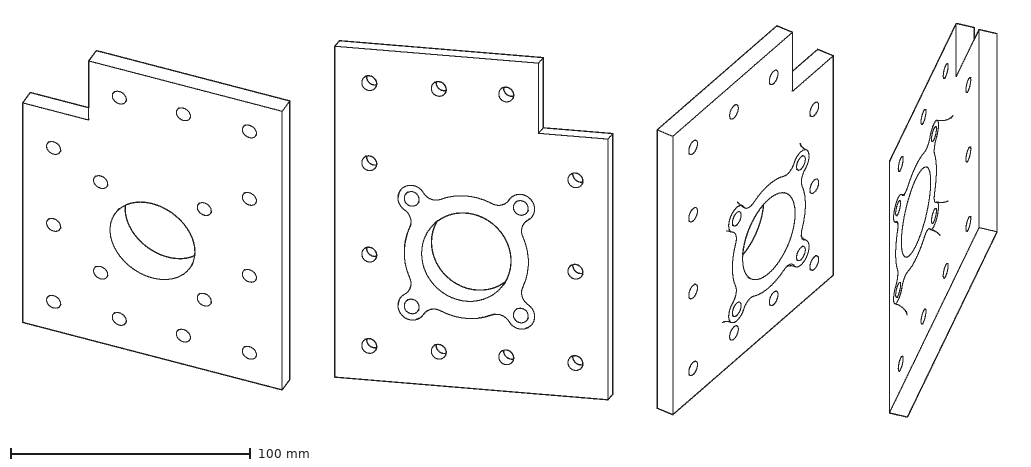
import cadquery as cq
import math

plate_width = 118.0
plate_height = 145.0
plate_thickness = 8.0
notch_width = 30.0
notch_height = 30.7

bore_x = plate_width / 2
bore_z = 60.0
bore_radius = 19.3
motor_hole_offset = 23.56
hole_diameter = 6.4

column_x = (14.0, 44.0, 73.1, 103.1)
row_z = (15.0, 55.0, 95.0, 130.0)

boss_height = 8.0
total_thickness = plate_thickness + boss_height
flare_radius = 7.8
ring_radius = 26.8
lobe_radius = 6.0
web_radius = 5.8
foot_tolerance = 0.1


def polar(radius, angle):
    return (radius * math.cos(angle), radius * math.sin(angle))


def boss_outline():
    """Ring with four lobes, every lobe joined to the ring by tangent concave arcs."""
    lobe_distance = motor_hole_offset * math.sqrt(2)
    to_ring = ring_radius + web_radius
    to_lobe = lobe_radius + web_radius
    turn = math.acos((to_ring**2 + lobe_distance**2 - to_lobe**2) / (2 * to_ring * lobe_distance))
    web_sweep = math.acos((to_ring**2 + to_lobe**2 - lobe_distance**2) / (2 * to_ring * to_lobe))

    def web_point(lobe_angle, side, share):
        """Point on a web arc: share 0 lies on the ring, share 1 on the lobe."""
        web_angle = lobe_angle + side * turn
        center_x, center_z = polar(to_ring, web_angle)
        offset_x, offset_z = polar(web_radius, web_angle + math.pi + side * share * web_sweep)
        return (center_x + offset_x, center_z + offset_z)

    quarter = math.pi / 2
    outline = cq.Workplane("XZ", origin=(bore_x, plate_thickness, bore_z))
    outline = outline.moveTo(*polar(ring_radius, -quarter / 2 + turn))
    for index in range(4):
        lobe_angle = quarter * (index + 0.5)
        outline = (
            outline.threePointArc(
                polar(ring_radius, lobe_angle - quarter / 2), web_point(lobe_angle, -1, 0)
            )
            .threePointArc(web_point(lobe_angle, -1, 0.5), web_point(lobe_angle, -1, 1))
            .threePointArc(
                polar(lobe_distance + lobe_radius, lobe_angle), web_point(lobe_angle, 1, 1)
            )
            .threePointArc(web_point(lobe_angle, 1, 0.5), web_point(lobe_angle, 1, 0))
        )
    return outline.close()


def add_flared_boss(body):
    """Raise the boss on the rear face and flare its foot into the plate."""
    body = body.union(boss_outline().extrude(-boss_height))
    reach = lobe_radius + motor_hole_offset + flare_radius
    foot = cq.selectors.BoxSelector(
        (bore_x - reach, plate_thickness - foot_tolerance, bore_z - reach),
        (bore_x + reach, plate_thickness + foot_tolerance, bore_z + reach),
    )
    return body.edges(foot).fillet(flare_radius)


def through_holes(points, diameter):
    return cq.Workplane("XZ").pushPoints(points).circle(diameter / 2).extrude(-total_thickness)


plate = (
    cq.Workplane("XZ")
    .lineTo(plate_width, 0)
    .lineTo(plate_width, plate_height)
    .lineTo(notch_width, plate_height)
    .lineTo(notch_width, plate_height - notch_height)
    .lineTo(0, plate_height - notch_height)
    .close()
    .extrude(-plate_thickness)
)

mounting_points = []
for x in column_x:
    for z in row_z:
        on_edge = x in (column_x[0], column_x[-1]) or z in (row_z[0], row_z[-1])
        in_notch = x < notch_width and z > plate_height - notch_height
        if on_edge and not in_notch:
            mounting_points.append((x, z))

motor_points = [
    (bore_x + x_sign * motor_hole_offset, bore_z + z_sign * motor_hole_offset)
    for x_sign in (-1, 1)
    for z_sign in (-1, 1)
]

result = add_flared_boss(plate)
result = result.cut(through_holes([(bore_x, bore_z)], 2 * bore_radius))
result = result.cut(through_holes(mounting_points + motor_points, hole_diameter))